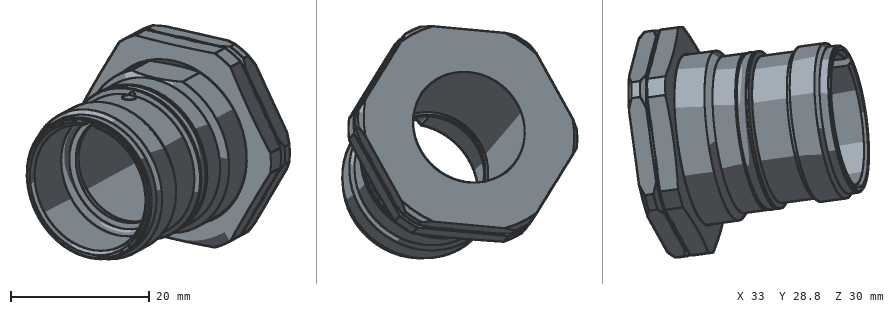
import cadquery as cq
import math


TOTAL_LENGTH = 28.8

SPIGOT_R = 10.75
MOUTH_EDGE_CHAMFER = 0.25
COLLAR_R = 11.35
COLLAR_RAMP = COLLAR_R - SPIGOT_R
COLLAR_START = 1.55
COLLAR_END = 6.45
LIP_R = 11.5
LIP_RAMP_START = 11.65
LIP_START = 12.0
LIP_END = 12.35

OUTER_RING_TUBE_R = 0.7
OUTER_RING_STATION = 13.25
SEAT_START = 14.0
SEAT_R = 11.45

SHOULDER_R = 12.4
SHOULDER_RAMP_START = 17.4
SHOULDER_RAMP_END = SHOULDER_RAMP_START + SHOULDER_R - SEAT_R
SHOULDER_FLAT_Z = 11.6

HEX_CORNER_R = 16.495
FRONT_HEX_FLATS = 30.0
FRONT_HEX_START = 22.8
FRONT_HEX_END = 25.8
FRONT_HEX_BEVEL = 0.3
NECK_R = FRONT_HEX_FLATS / 2
BACK_HEX_FLATS = 29.8
BACK_HEX_START = 26.2
BACK_HEX_CHAMFER = 0.65

RECESS_MOUTH_R = 12.55
RECESS_MID_R = 12.25
RECESS_MID_DEPTH = RECESS_MOUTH_R - RECESS_MID_R
RECESS_FLOOR_R = 11.5
RECESS_FLOOR_DEPTH = 0.75

BORE_R = 9.55
BORE_CHAMFER = 0.5
BORE_DEPTH = 9.05
THROAT_R = 8.0
THROAT_LENGTH = 0.75
REAR_BORE_R = 8.4

INNER_RING_TUBE_R = 0.7
INNER_RING_INNER_R = 8.73
INNER_RING_STATION = 8.25

NOTCH_R = 1.0
NOTCH_Z = 9.5
DIMPLE_R = 1.0
DIMPLE_STATION = 10.85
DIMPLE_FLOOR_Z = 10.65


def turned(points):
    """Solid of revolution about Y from (radius, station) points, swept from the top (+Z) side."""
    top_side = [(station, radius) for radius, station in points]
    return cq.Workplane("YZ").polyline(top_side).close().revolve(360, (0, 0), (1, 0))


def cylinder(radius, start, end):
    return turned([(0, start), (radius, start), (radius, end), (0, end)])


def seal_ring(centre_r, tube_r, station):
    """Torus about Y, swept from the bottom (-Z) side."""
    tube = cq.Workplane("YZ").center(station, -centre_r).circle(tube_r)
    return tube.revolve(360, (0, centre_r), (1, centre_r))


def hex_prism(flats, start, end):
    """Hexagonal prism along Y with two flats facing +Z and -Z."""
    corner_diameter = flats / math.cos(math.pi / 6)
    return (
        cq.Workplane("XZ", origin=(0, start, 0))
        .polygon(6, corner_diameter)
        .extrude(start - end)
    )


def body():
    outline = [
        (0, 0),
        (SPIGOT_R - MOUTH_EDGE_CHAMFER, 0),
        (SPIGOT_R, MOUTH_EDGE_CHAMFER),
        (SPIGOT_R, COLLAR_START),
        (COLLAR_R, COLLAR_START + COLLAR_RAMP),
        (COLLAR_R, COLLAR_END - COLLAR_RAMP),
        (SPIGOT_R, COLLAR_END),
        (SPIGOT_R, LIP_RAMP_START),
        (LIP_R, LIP_START),
        (LIP_R, LIP_END),
        (SPIGOT_R, LIP_END),
        (SPIGOT_R, SEAT_START),
        (SEAT_R, SEAT_START),
        (SEAT_R, SHOULDER_RAMP_START),
        (SHOULDER_R, SHOULDER_RAMP_END),
        (SHOULDER_R, FRONT_HEX_END),
        (0, FRONT_HEX_END),
    ]
    above_flat = (
        cq.Workplane("XY", origin=(0, SHOULDER_RAMP_START, SHOULDER_FLAT_Z))
        .rect(2 * SHOULDER_R, 2 * (FRONT_HEX_END - SHOULDER_RAMP_START))
        .extrude(SHOULDER_R)
    )
    return turned(outline).cut(above_flat)


def front_hex():
    envelope = turned([
        (0, FRONT_HEX_START),
        (FRONT_HEX_FLATS / 2, FRONT_HEX_START),
        (HEX_CORNER_R, FRONT_HEX_START + FRONT_HEX_BEVEL),
        (HEX_CORNER_R, FRONT_HEX_END),
        (0, FRONT_HEX_END),
    ])
    recess = turned([
        (0, FRONT_HEX_START),
        (RECESS_MOUTH_R, FRONT_HEX_START),
        (RECESS_MID_R, FRONT_HEX_START + RECESS_MID_DEPTH),
        (RECESS_FLOOR_R, FRONT_HEX_START + RECESS_FLOOR_DEPTH),
        (0, FRONT_HEX_START + RECESS_FLOOR_DEPTH),
    ])
    prism = hex_prism(FRONT_HEX_FLATS, FRONT_HEX_START, FRONT_HEX_END)
    return prism.intersect(envelope).cut(recess)


def back_hex():
    envelope = cylinder(HEX_CORNER_R, BACK_HEX_START, TOTAL_LENGTH).edges().chamfer(BACK_HEX_CHAMFER)
    return hex_prism(BACK_HEX_FLATS, BACK_HEX_START, TOTAL_LENGTH).intersect(envelope)


def bore():
    throat_end = BORE_DEPTH + THROAT_LENGTH
    return turned([
        (0, 0),
        (BORE_R + BORE_CHAMFER, 0),
        (BORE_R, BORE_CHAMFER),
        (BORE_R, BORE_DEPTH),
        (THROAT_R, BORE_DEPTH),
        (THROAT_R, throat_end),
        (REAR_BORE_R, throat_end),
        (REAR_BORE_R, TOTAL_LENGTH),
        (0, TOTAL_LENGTH),
    ])


def key_notch():
    return cq.Workplane("XZ").center(0, NOTCH_Z).circle(NOTCH_R).extrude(-BORE_DEPTH)


def index_dimple():
    return (
        cq.Workplane("XY", origin=(0, DIMPLE_STATION, DIMPLE_FLOOR_Z))
        .circle(DIMPLE_R)
        .extrude(LIP_R - DIMPLE_FLOOR_Z)
    )


outer_ring = seal_ring(LIP_R - OUTER_RING_TUBE_R, OUTER_RING_TUBE_R, OUTER_RING_STATION)
inner_ring = seal_ring(
    INNER_RING_INNER_R + INNER_RING_TUBE_R,
    INNER_RING_TUBE_R,
    INNER_RING_STATION,
)

result = (
    body()
    .union(front_hex())
    .union(cylinder(NECK_R, FRONT_HEX_END, BACK_HEX_START))
    .union(back_hex())
    .union(outer_ring)
    .cut(bore())
    .cut(key_notch())
    .cut(index_dimple())
    .union(inner_ring)
)